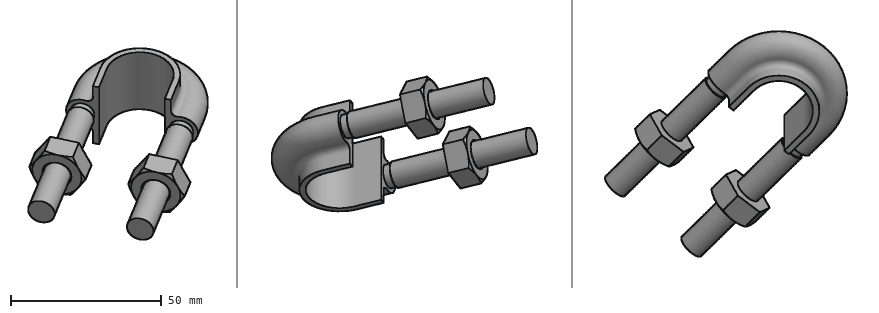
import cadquery as cq
import math

leg_offset = 17.05
rod_diameter = 8.2
thread_diameter = 9.2
leg_end_y = -62.5
neck_length = 2.6

sleeve_length = 9.9
sleeve_diameter = 11.4
strip_height = 25.0
strip_inner = 11.3
strip_outer = 13.5
strip_fillet = 2.05

nut_flats = 17.0
nut_thickness = 8.2
nut_top_y = -34.35
nut_turn = 3.0
nut_chamfer_angle = 30.0
nut_countersink = 10.05

thread_top_y = -sleeve_length - neck_length
nut_corners = nut_flats / math.cos(math.radians(30))
leg_sides = (-1, 1)


def bar_along_y(x, top_y, bottom_y, diameter):
    """Round bar parallel to Y from top_y down to bottom_y."""
    return (
        cq.Workplane("XZ", origin=(x, top_y, 0))
        .circle(diameter / 2)
        .extrude(top_y - bottom_y)
    )


def bent_bar(diameter, leg_bottom_y):
    """Round bar following the U, with its legs ending at leg_bottom_y."""
    section = cq.Workplane("XZ").center(leg_offset, 0).circle(diameter / 2)
    bar = section.revolve(180, (-leg_offset, 0, 0), (-leg_offset, 1, 0))
    for side in leg_sides:
        bar = bar.union(bar_along_y(side * leg_offset, 0, leg_bottom_y, diameter))
    return bar


def make_u_bolt():
    bolt = bent_bar(rod_diameter, thread_top_y)
    for side in leg_sides:
        bolt = bolt.union(bar_along_y(side * leg_offset, thread_top_y, leg_end_y, thread_diameter))
    return bolt


def sleeve_section():
    """Flat strip and round back joined by tangent fillets, on the +X side."""
    radius = sleeve_diameter / 2
    half_height = strip_height / 2
    fillet_x = strip_outer + strip_fillet
    center_distance = radius + strip_fillet
    fillet_z = math.sqrt(center_distance**2 - (leg_offset - fillet_x) ** 2)
    tangent_x = leg_offset + (fillet_x - leg_offset) * radius / center_distance
    tangent_z = fillet_z * radius / center_distance
    end_angle = math.atan2(-fillet_z, leg_offset - fillet_x)
    middle_angle = (end_angle - math.pi) / 2
    middle_x = fillet_x + strip_fillet * math.cos(middle_angle)
    middle_z = fillet_z + strip_fillet * math.sin(middle_angle)
    return (
        cq.Workplane("XZ")
        .moveTo(strip_inner, -half_height)
        .lineTo(strip_inner, half_height)
        .lineTo(strip_outer, half_height)
        .lineTo(strip_outer, fillet_z)
        .threePointArc((middle_x, middle_z), (tangent_x, tangent_z))
        .threePointArc((leg_offset + radius, 0), (tangent_x, -tangent_z))
        .threePointArc((middle_x, -middle_z), (strip_outer, -fillet_z))
        .lineTo(strip_outer, -half_height)
        .close()
    )


def make_sleeve():
    bend = sleeve_section().revolve(180, (0, 0, 0), (0, 1, 0))
    right_side = sleeve_section().extrude(sleeve_length)
    left_side = right_side.mirror("YZ")
    sleeve = bend.union(right_side).union(left_side)
    return sleeve.cut(bent_bar(rod_diameter, -sleeve_length))


def make_nut(x):
    """Hexagon nut, chamfered and countersunk on its -Y face."""
    bottom_y = nut_top_y - nut_thickness
    slope = math.tan(math.radians(nut_chamfer_angle))
    flats_radius = nut_flats / 2
    cone_radius = flats_radius + nut_thickness / slope
    hexagon = (
        cq.Workplane("XZ", origin=(0, nut_top_y, 0))
        .polygon(6, nut_corners)
        .extrude(nut_thickness)
        .rotate((0, 0, 0), (0, 1, 0), nut_turn)
    )
    chamfer_cone = (
        cq.Workplane("XY")
        .moveTo(0, bottom_y)
        .lineTo(flats_radius, bottom_y)
        .lineTo(cone_radius, nut_top_y)
        .lineTo(0, nut_top_y)
        .close()
        .revolve(360, (0, 0, 0), (0, 1, 0))
    )
    countersink_radius = nut_countersink / 2
    countersink = (
        cq.Workplane("XY")
        .moveTo(0, bottom_y)
        .lineTo(countersink_radius, bottom_y)
        .lineTo(0, bottom_y + countersink_radius)
        .close()
        .revolve(360, (0, 0, 0), (0, 1, 0))
    )
    bore = bar_along_y(0, nut_top_y, bottom_y, thread_diameter)
    nut = hexagon.intersect(chamfer_cone).cut(bore).cut(countersink)
    return nut.translate((x, 0, 0))


u_bolt = make_u_bolt()
sleeve = make_sleeve()
nuts = [make_nut(side * leg_offset) for side in leg_sides]

result = cq.Compound.makeCompound([u_bolt.val(), sleeve.val(), *[nut.val() for nut in nuts]])